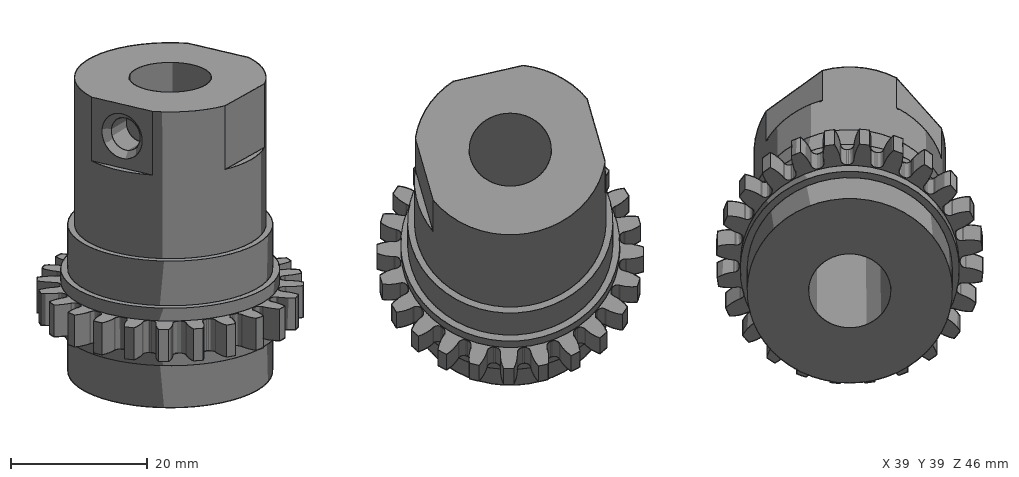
import cadquery as cq
import math

total_height = 46.0
journal_diameter = 30.0
journal_top = 23.0
flange_diameter = 32.0
flange_bottom = 7.0
flange_top = journal_top - flange_bottom
shank_diameter = 28.0
bore_diameter = 12.0

tooth_count = 24
gear_thickness = 5.0
gear_bottom = (flange_bottom + flange_top - gear_thickness) / 2
tip_radius = 19.5
root_radius = 16.15
tip_width = 1.45
pitch_radius = 18.0
pitch_width = 2.35
base_width = 2.5
root_fillet = 0.85

flat_offset = 12.95
flat_height = 10.0

hole_diameter = 5.0
countersink_diameter = 7.0
countersink_depth = (countersink_diameter - hole_diameter) / 2
hole_depth = 5.0
hole_z = total_height - flat_height / 2


def cylinder(diameter, bottom, top):
    return cq.Workplane("XY").workplane(offset=bottom).circle(diameter / 2).extrude(top - bottom)


def make_body():
    journal = cylinder(journal_diameter, 0, journal_top)
    flange = cylinder(flange_diameter, flange_bottom, flange_top)
    shank = cylinder(shank_diameter, journal_top, total_height)
    return journal.union(flange).union(shank)


def make_gear():
    """Disc with straight teeth: curved flanks that narrow to the tip, filleted at the root."""
    half_tip = tip_width / 2
    half_pitch = pitch_width / 2
    half_base = base_width / 2
    tip_y = math.sqrt(tip_radius**2 - half_tip**2)
    flank_base_y = root_radius + root_fillet
    tooth = (
        cq.Workplane("XY")
        .moveTo(-half_base, 0)
        .lineTo(-half_base, flank_base_y)
        .threePointArc((-half_pitch, pitch_radius), (-half_tip, tip_y))
        .threePointArc((0, tip_radius), (half_tip, tip_y))
        .threePointArc((half_pitch, pitch_radius), (half_base, flank_base_y))
        .lineTo(half_base, 0)
        .close()
        .extrude(gear_thickness)
    )
    gear = cq.Workplane("XY").circle(root_radius).extrude(gear_thickness)
    tooth_pitch_angle = 360 / tooth_count
    for index in range(tooth_count):
        gear = gear.union(tooth.rotate((0, 0, 0), (0, 0, 1), index * tooth_pitch_angle))
    root_edges = gear.edges("|Z").filter(
        lambda edge: math.hypot(edge.Center().x, edge.Center().y) < root_radius + root_fillet / 2
    )
    gear = root_edges.fillet(root_fillet)
    return gear.translate((0, 0, gear_bottom))


def make_flat_cut(angle):
    """Block beyond one flat; the angle is the direction the flat faces, from +X."""
    block = cq.Workplane("XY").box(
        shank_diameter, shank_diameter, flat_height, centered=(False, True, False)
    )
    block = block.translate((flat_offset, 0, total_height - flat_height))
    return block.rotate((0, 0, 0), (0, 0, 1), angle)


def make_hole():
    """Blind hole with a 90 degree countersink, revolved about an axis that runs along Y."""
    profile = (
        cq.Workplane("XY")
        .lineTo(countersink_diameter / 2, 0)
        .lineTo(hole_diameter / 2, countersink_depth)
        .lineTo(hole_diameter / 2, hole_depth)
        .lineTo(0, hole_depth)
        .close()
    )
    return profile.revolve(360, (0, 0, 0), (0, 1, 0)).translate((0, -flat_offset, hole_z))


result = make_body().union(make_gear())
for facing in (0, 90, 270):
    result = result.cut(make_flat_cut(facing))
result = result.cut(cylinder(bore_diameter, 0, total_height))
result = result.cut(make_hole())